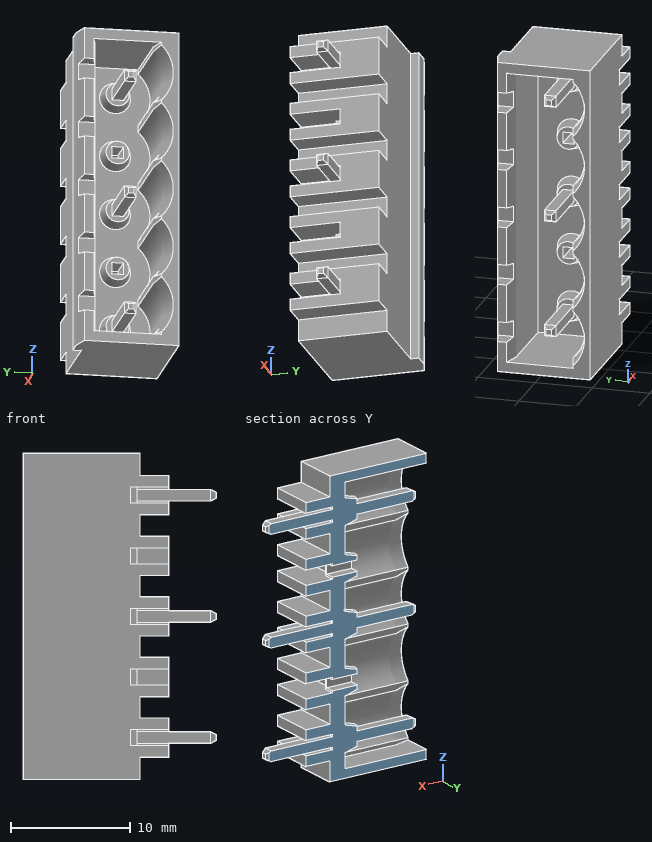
import cadquery as cq


height = 27.4
body_depth = 9.8
body_width = 7.78
lip_rise = 0.7
lip_depth = 3.0
mouth_taper_depth = 1.5
lip_taper = 0.4

position_count = 5
row_length = 20.33
pin_y = 3.9
pin_size = 1.0
pin_tip_size = 0.5
pin_tip_length = 0.47
pin_start = 1.01
pin_end = 16.2

cavity_depth = 8.22
end_wall = 0.9
cavity_low_y = 1.92
cavity_high_y = 6.88
mouth_flare = 0.4
scallop_radius = 3.0
boss_base_radius = 1.32
boss_top_radius = 1.0
boss_height = 1.2

notch_depth = 1.1
notch_mouth = 1.75
notch_floor = 1.37

foot_end = 12.22
foot_height = 3.32
slot_height = 1.35
slot_start = 9.01
slot_deep_start = 9.54

cavity_height = height - 2 * end_wall
pin_front_y = pin_y - pin_size / 2
pin_back_y = pin_y + pin_size / 2
slot_clearance = (slot_height - pin_size) / 2

pitch = row_length / (position_count - 1)
position_z = [i * pitch - row_length / 2 for i in range(position_count)]
pin_z = position_z[::2]


def block(x0, x1, y0, y1, z_size, z_mid=0.0):
    """Box between two X and two Y values, centred on z_mid."""
    centre = ((x0 + x1) / 2, (y0 + y1) / 2, z_mid)
    return cq.Workplane("XY").box(x1 - x0, y1 - y0, z_size).translate(centre)


def row_plane(x, z):
    """Plane facing +X, centred on one position's pin axis."""
    return cq.Workplane("YZ", origin=(x, pin_y, z))


def square_frustum(x0, x1, size0, size1, z):
    """Square bar on a pin axis that tapers from size0 to size1."""
    return row_plane(x0, z).rect(size0, size0).workplane(offset=x1 - x0).rect(size1, size1).loft()


def cone_frustum(x0, x1, radius0, radius1, z):
    """Truncated cone on a pin axis."""
    return row_plane(x0, z).circle(radius0).workplane(offset=x1 - x0).circle(radius1).loft()


def housing():
    """Solid body with a raised, tapered lip on its +Y side."""
    lip_y = body_width + lip_rise
    outline = [
        (0, 0),
        (body_depth, 0),
        (body_depth, body_width),
        (lip_depth, body_width),
        (lip_depth, lip_y),
        (mouth_taper_depth, lip_y),
        (0, lip_y - lip_taper),
    ]
    return cq.Workplane("XY").polyline(outline).close().extrude(height / 2, both=True)


def cavity():
    """Open pocket with a flared mouth and a scallop around every position."""
    outline = [
        (0, cavity_low_y - mouth_flare),
        (mouth_taper_depth, cavity_low_y),
        (cavity_depth, cavity_low_y),
        (cavity_depth, cavity_high_y),
        (mouth_taper_depth, cavity_high_y),
        (0, cavity_high_y + mouth_flare),
    ]
    pocket = cq.Workplane("XY").polyline(outline).close().extrude(cavity_height / 2, both=True)
    scallop_limit = block(0, cavity_depth, 0, pin_y, cavity_height)
    for z in position_z:
        flare = cone_frustum(0, mouth_taper_depth, scallop_radius + mouth_flare, scallop_radius, z)
        bore = row_plane(mouth_taper_depth, z).circle(scallop_radius).extrude(cavity_depth - mouth_taper_depth)
        pocket = pocket.union(flare.union(bore).intersect(scallop_limit))
    return pocket


def lip_notch(z):
    """Notch through the lip whose sides close in towards its floor."""
    outline = [
        (0, z - notch_mouth / 2),
        (notch_depth, z - notch_floor / 2),
        (notch_depth, z + notch_floor / 2),
        (0, z + notch_mouth / 2),
    ]
    lip_y = body_width + lip_rise
    plane = cq.Workplane("XZ", origin=(0, lip_y, 0))
    return plane.polyline(outline).close().extrude(lip_y - pin_y)


def boss(z):
    """Conical collar around a pin on the cavity floor."""
    return cone_frustum(cavity_depth - boss_height, cavity_depth, boss_top_radius, boss_base_radius, z)


def foot(z):
    """Rear foot behind one position."""
    return block(body_depth, foot_end, 0, body_width, foot_height, z)


def pin_slot(z):
    """Slot open to -Y and to the rear, with a shallow step at its front end."""
    step = block(slot_start, slot_deep_start, 0, pin_front_y - slot_clearance, slot_height, z)
    channel = block(slot_deep_start, foot_end, 0, pin_back_y, slot_height, z)
    return step.union(channel)


def pin_hole(z):
    """Square hole from the boss top into the deep part of the slot."""
    return block(cavity_depth - boss_height, slot_deep_start, pin_front_y, pin_back_y, pin_size, z)


def pin(z):
    """Square pin with a pyramid tip at each end."""
    shank_start = pin_start + pin_tip_length
    shank_end = pin_end - pin_tip_length
    shank = block(shank_start, shank_end, pin_front_y, pin_back_y, pin_size, z)
    front_tip = square_frustum(pin_start, shank_start, pin_tip_size, pin_size, z)
    rear_tip = square_frustum(shank_end, pin_end, pin_size, pin_tip_size, z)
    return shank.union(front_tip).union(rear_tip)


result = housing().cut(cavity())
for z in position_z:
    result = result.cut(lip_notch(z)).union(boss(z)).union(foot(z))
    result = result.cut(pin_slot(z)).cut(pin_hole(z))

for z in pin_z:
    result = result.union(pin(z))